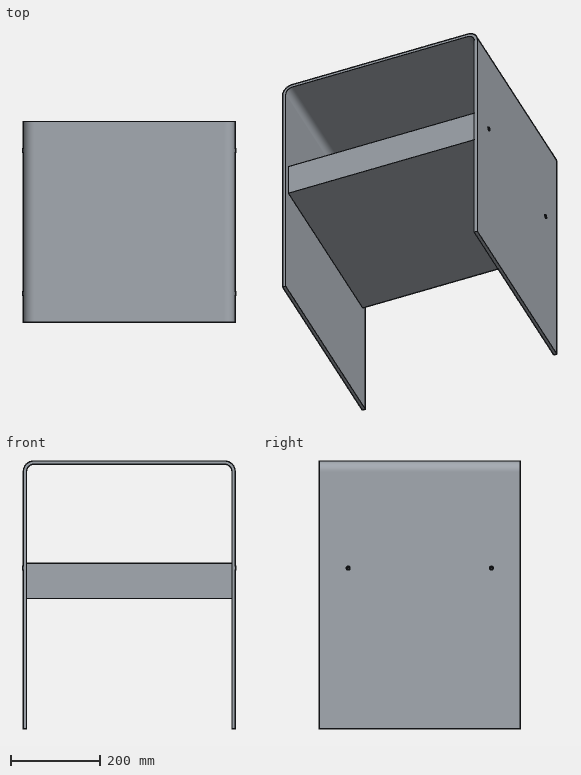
import cadquery as cq

total_width = 477.0
depth = 450.0
height = 600.0

wall = 8.0
bend_radius = 24.0

shelf_height = 80.0
shelf_top = 371.5
shelf_setback = 15.0

pin_diameter = 9.0
socket_diameter = 4.0
socket_depth = 4.0
pin_projection = 1.0
pin_z = 360.0
pin_spacing = 320.5

shell_width = total_width - 2 * pin_projection
inner_width = shell_width - 2 * wall
inner_height = height - wall
shelf_depth = depth - 2 * shelf_setback
pin_length = wall + pin_projection
pin_places = [
    (side, y)
    for side in (-1, 1)
    for y in (-pin_spacing / 2, pin_spacing / 2)
]


def rounded_top_block(width, block_height, radius):
    """Block standing on Z = 0 with its two long top edges rounded."""
    return (
        cq.Workplane("XY")
        .box(width, depth, block_height, centered=(True, True, False))
        .edges("|Y and >Z")
        .fillet(radius)
    )


def pin_cylinder(side, y):
    """Cylinder from the shelf end out through one side wall; side is -1 or 1."""
    return (
        cq.Workplane("YZ", origin=(side * inner_width / 2, y, pin_z))
        .circle(pin_diameter / 2)
        .extrude(side * pin_length)
    )


def make_pin(side, y):
    """Round pin with a blind socket in its outer end."""
    outer_end = side * (inner_width / 2 + pin_length)
    socket = (
        cq.Workplane("YZ", origin=(outer_end, y, pin_z))
        .circle(socket_diameter / 2)
        .extrude(-side * socket_depth)
    )
    return pin_cylinder(side, y).cut(socket)


def make_shell():
    """Bent sheet, open at front, back and bottom, with a hole for each pin."""
    outside = rounded_top_block(shell_width, height, bend_radius)
    inside = rounded_top_block(inner_width, inner_height, bend_radius - wall)
    shell = outside.cut(inside)
    for side, y in pin_places:
        shell = shell.cut(pin_cylinder(side, y))
    return shell


def make_shelf():
    """Plain block filling the width between the side walls."""
    shelf_bottom = shelf_top - shelf_height
    return (
        cq.Workplane("XY", origin=(0, 0, shelf_bottom))
        .box(inner_width, shelf_depth, shelf_height, centered=(True, True, False))
    )


shell = make_shell()
shelf = make_shelf()
pins = [make_pin(side, y) for side, y in pin_places]

result = cq.Compound.makeCompound([shell.val(), shelf.val(), *[pin.val() for pin in pins]])